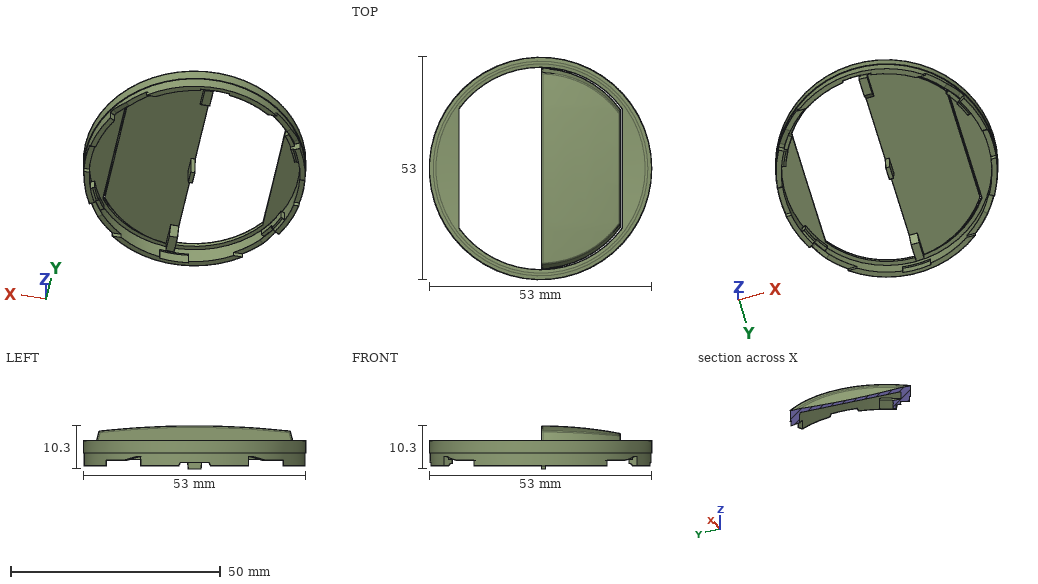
import cadquery as cq
import math

band_radius = 26.5
skirt_radius = 26.35
skirt_inner_radius = 25.05
band_bottom = 3.0
ring_top = 6.05
crown_outer_radius = 25.55
crown_inner_radius = 24.9
crown_drop = 0.05

relief_radius = 25.45
relief_half_width = 3.5

opening_radius = 24.05
opening_half_width = 19.4
lip_bottom = 4.8
dish_drop = 0.55

notch_start_angle = 29.2
notch_peak_angle = 31.5
notch_ramp_angle = 40.4
notch_end_angle = 53.0
notch_low = 1.25
notch_high = 2.2
end_notch_depth = 0.75
end_notch_half_width = 3.4
end_notch_flare = 0.35

catch_radius = opening_radius
catch_bottom = 0.55
catch_lead_in = 0.55
catch_start_angle = 20.0
catch_end_angle = notch_start_angle
web_end_angle = 37.5
web_bottom = 1.5

lever_front = 0.2
lever_back = 19.0
lever_top = 9.55
crown_radius_x = 100.7
crown_radius_y = 206.65
lever_reference_radius = 22.8
lever_reference_height = 8.2
side_slope = 0.26
lever_limit_radius = 23.95
lever_front_bottom = 4.15
lever_back_bottom = 5.05
lever_fillet = 0.35

leg_bottom = 1.7
leg_thickness = 2.0
leg_inner_top = 18.0
leg_inner_bottom = 19.6

tab_thickness = 1.0
tab_bottom = -0.8
tab_top_half_width = 2.05
tab_bottom_half_width = 1.55

reach = 2 * band_radius


def tube(outer, inner, bottom, top):
    return cq.Workplane("XY").workplane(offset=bottom).circle(outer).circle(inner).extrude(top - bottom)


def flat_sided_disc(radius, half_width, bottom, top):
    disc = cq.Workplane("XY").workplane(offset=bottom).circle(radius).extrude(top - bottom)
    slab = cq.Workplane("XY").box(2 * half_width, reach, reach)
    return disc.intersect(slab)


def ring_band():
    """Upper band, revolved with its crowned rim and dished middle."""
    band = (
        cq.Workplane("XZ")
        .polyline([
            (opening_half_width, lip_bottom),
            (skirt_inner_radius, lip_bottom),
            (skirt_inner_radius, band_bottom),
            (band_radius, band_bottom),
            (band_radius, ring_top - crown_drop),
            (crown_outer_radius, ring_top),
            (crown_inner_radius, ring_top),
            (opening_half_width, ring_top - dish_drop),
        ])
        .close()
        .revolve(360, (0, 0, 0), (0, 1, 0))
    )
    return band.cut(flat_sided_disc(opening_radius, opening_half_width, 0, reach))


def quadrant_copies(shape):
    """A shape in the +X +Y quadrant together with its mirror images in the other three."""
    pair = [shape, shape.mirror("YZ")]
    return pair + [one.mirror("XZ") for one in pair]


def notch_cutter():
    """Notch with a ramped roof, one radial end and one end parallel to X, in the +X +Y quadrant."""
    middle = (notch_start_angle + notch_end_angle) / 2

    def along(angle):
        return skirt_radius * math.sin(math.radians(angle - middle))

    roof = (
        cq.Workplane("YZ")
        .polyline([
            (-reach, 0),
            (-reach, notch_high),
            (along(notch_peak_angle), notch_high),
            (along(notch_ramp_angle), notch_low),
            (reach, notch_low),
            (reach, 0),
        ])
        .close()
        .extrude(reach)
        .rotate((0, 0, 0), (0, 0, 1), middle)
    )
    end_y = skirt_radius * math.sin(math.radians(notch_end_angle))
    extent = (
        cq.Workplane("XY")
        .polyline([
            (0, 0),
            (end_y / math.tan(math.radians(notch_start_angle)), end_y),
            (0, end_y),
        ])
        .close()
        .extrude(notch_high)
    )
    return roof.intersect(extent)


def ring_sector(outline, start_angle, end_angle):
    """Outline of (radius, height) points swept about the Z axis between two angles."""
    return (
        cq.Workplane("XZ")
        .polyline(outline)
        .close()
        .revolve(end_angle - start_angle, (0, 0, 0), (0, 1, 0))
        .rotate((0, 0, 0), (0, 0, 1), start_angle)
    )


def catch():
    """Catch with a sloped lead-in and the web above it, in the +X +Y quadrant."""
    hook_outline = [
        (skirt_inner_radius, 0),
        (skirt_inner_radius - catch_lead_in, catch_bottom),
        (catch_radius, catch_bottom),
        (catch_radius, band_bottom),
        (skirt_inner_radius, band_bottom),
    ]
    web_outline = [
        (catch_radius, web_bottom),
        (skirt_inner_radius, web_bottom),
        (skirt_inner_radius, band_bottom),
        (catch_radius, band_bottom),
    ]
    hook = ring_sector(hook_outline, catch_start_angle, catch_end_angle)
    web = ring_sector(web_outline, catch_start_angle, web_end_angle)
    return hook.union(web)


def end_notch_cutter():
    wide = end_notch_half_width + end_notch_flare
    return (
        cq.Workplane("YZ")
        .polyline([
            (-wide, 0),
            (-end_notch_half_width, end_notch_depth),
            (end_notch_half_width, end_notch_depth),
            (wide, 0),
        ])
        .close()
        .extrude(reach, both=True)
    )


def leg_relief():
    """Shallow recesses in the skirt wall where it passes the lever legs."""
    return flat_sided_disc(relief_radius, relief_half_width, 0, band_bottom)


def ring_skirt():
    skirt = tube(skirt_radius, skirt_inner_radius, 0, band_bottom)
    for cutter in quadrant_copies(notch_cutter()):
        skirt = skirt.cut(cutter)
    return skirt.cut(end_notch_cutter()).cut(leg_relief())


def make_ring():
    ring = ring_band().union(ring_skirt())
    for one in quadrant_copies(catch()):
        ring = ring.union(one)
    return ring


def lever_cone():
    """Round outer side of the lever, widening downwards."""
    def radius_at(z):
        return lever_reference_radius + side_slope * (lever_reference_height - z)

    limit_height = lever_reference_height - (lever_limit_radius - lever_reference_radius) / side_slope
    top = lever_top + 0.55
    return (
        cq.Workplane("XZ")
        .polyline([
            (0, leg_bottom),
            (lever_limit_radius, leg_bottom),
            (lever_limit_radius, limit_height),
            (radius_at(top), top),
            (0, top),
        ])
        .close()
        .revolve(360, (0, 0, 0), (0, 1, 0))
    )


def lever_crown():
    """Barrel whose upper side is the doubly curved top of the lever."""
    half_length = band_radius
    end_drop = crown_radius_y - math.sqrt(crown_radius_y**2 - half_length**2)
    axis_height = lever_top - crown_radius_x
    return (
        cq.Workplane("YZ")
        .moveTo(-half_length, axis_height)
        .lineTo(-half_length, lever_top - end_drop)
        .threePointArc((0, lever_top), (half_length, lever_top - end_drop))
        .lineTo(half_length, axis_height)
        .close()
        .revolve(360, (0, axis_height, 0), (1, axis_height, 0))
    )


def lever_body():
    profile = (
        cq.Workplane("XZ")
        .polyline([
            (lever_front, lever_front_bottom),
            (lever_back, lever_back_bottom),
            (lever_back, reach),
            (lever_front, reach),
        ])
        .close()
        .extrude(band_radius, both=True)
    )
    body = profile.intersect(lever_cone()).intersect(lever_crown())
    front = cq.selectors.BoxSelector(
        (lever_front - 0.05, -reach, lever_front_bottom + 0.55), (lever_front + 0.05, reach, lever_top - 0.55)
    )
    front_corners = body.edges(front).vals()
    return body.faces(">Z").edges().add(front_corners).fillet(lever_fillet)


def lever_legs():
    """Two legs below the ends of the upright face."""
    legs = []
    for side in (1, -1):
        leg = (
            cq.Workplane("YZ")
            .workplane(offset=lever_front)
            .polyline([
                (side * leg_inner_top, lever_front_bottom + 0.55),
                (side * leg_inner_top, lever_front_bottom),
                (side * leg_inner_bottom, leg_bottom),
                (side * band_radius, leg_bottom),
                (side * band_radius, lever_front_bottom + 0.55),
            ])
            .close()
            .extrude(leg_thickness)
        )
        legs.append(leg.intersect(lever_cone()))
    return legs


def lever_tab():
    top = lever_front_bottom + 0.55
    return (
        cq.Workplane("YZ")
        .workplane(offset=lever_front)
        .polyline([
            (-tab_bottom_half_width, tab_bottom),
            (tab_bottom_half_width, tab_bottom),
            (tab_top_half_width, top),
            (-tab_top_half_width, top),
        ])
        .close()
        .extrude(tab_thickness)
    )


def make_lever():
    lever = lever_body()
    for leg in lever_legs():
        lever = lever.union(leg)
    return lever.union(lever_tab())


ring = make_ring()
lever = make_lever()
result = cq.Compound.makeCompound([ring.val(), lever.val()])